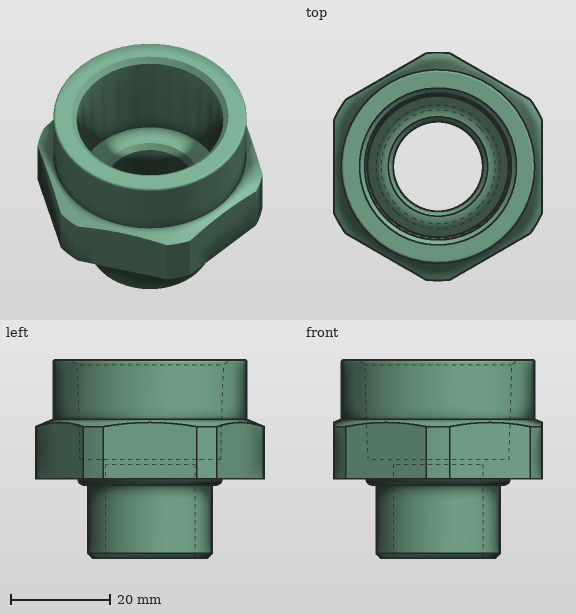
import cadquery as cq

total_height = 40.0
hex_bottom = 16.0
hex_corner_top = 26.55
collar_bottom = 28.0

corner_diameter = 46.0
across_flats = 42.0
collar_diameter = 39.0
collar_edge_radius = 0.5
spigot_diameter = 25.02
end_chamfer = 1.0

socket_diameter = 29.62
socket_depth = 20.0
socket_taper = 1 / 16
bore_diameter = 18.05

ring_diameter = 29.0
ring_height = 1.25


def make_outside():
    """Spigot, hexagon with a conical top and round collar."""
    spigot = (
        cq.Workplane("XY").circle(spigot_diameter / 2).extrude(hex_bottom)
        .faces("<Z").edges().chamfer(end_chamfer)
    )
    turned_blank = (
        cq.Workplane("XZ")
        .moveTo(0, hex_bottom)
        .lineTo(corner_diameter / 2, hex_bottom)
        .lineTo(corner_diameter / 2, hex_corner_top)
        .lineTo(collar_diameter / 2, collar_bottom)
        .lineTo(0, collar_bottom)
        .close()
        .revolve(360, (0, 0, 0), (0, 1, 0))
    )
    hex_prism = (
        cq.Workplane("XY").workplane(offset=hex_bottom)
        .polygon(6, across_flats, circumscribed=True)
        .extrude(collar_bottom - hex_bottom)
    )
    collar = (
        cq.Workplane("XY").workplane(offset=collar_bottom)
        .circle(collar_diameter / 2)
        .extrude(total_height - collar_bottom)
        .faces(">Z").edges().fillet(collar_edge_radius)
    )
    return turned_blank.intersect(hex_prism).union(spigot).union(collar)


def make_cavity():
    """Tapered socket and through bore, each with a chamfered mouth."""
    socket_radius = socket_diameter / 2
    bore_radius = bore_diameter / 2
    floor = total_height - socket_depth
    taper_top = total_height - end_chamfer
    floor_radius = socket_radius - (taper_top - floor) * socket_taper / 2
    return (
        cq.Workplane("XZ")
        .lineTo(bore_radius, 0)
        .lineTo(bore_radius, floor - end_chamfer)
        .lineTo(bore_radius + end_chamfer, floor)
        .lineTo(floor_radius, floor)
        .lineTo(socket_radius, taper_top)
        .lineTo(socket_radius + end_chamfer, total_height)
        .lineTo(0, total_height)
        .close()
        .revolve(360, (0, 0, 0), (0, 1, 0))
    )


def make_sealing_ring():
    """Ring around the spigot, against the hexagon, with a quarter-round lower edge."""
    inner_radius = spigot_diameter / 2
    outer_radius = ring_diameter / 2
    ring_bottom = hex_bottom - ring_height
    return (
        cq.Workplane("XZ")
        .moveTo(inner_radius, ring_bottom)
        .lineTo(outer_radius - ring_height, ring_bottom)
        .tangentArcPoint((outer_radius, hex_bottom), relative=False)
        .lineTo(inner_radius, hex_bottom)
        .close()
        .revolve(360, (0, 0, 0), (0, 1, 0))
    )


fitting = make_outside().cut(make_cavity()).solids()
sealing_ring = make_sealing_ring()

result = cq.Compound.makeCompound([fitting.val(), sealing_ring.val()])